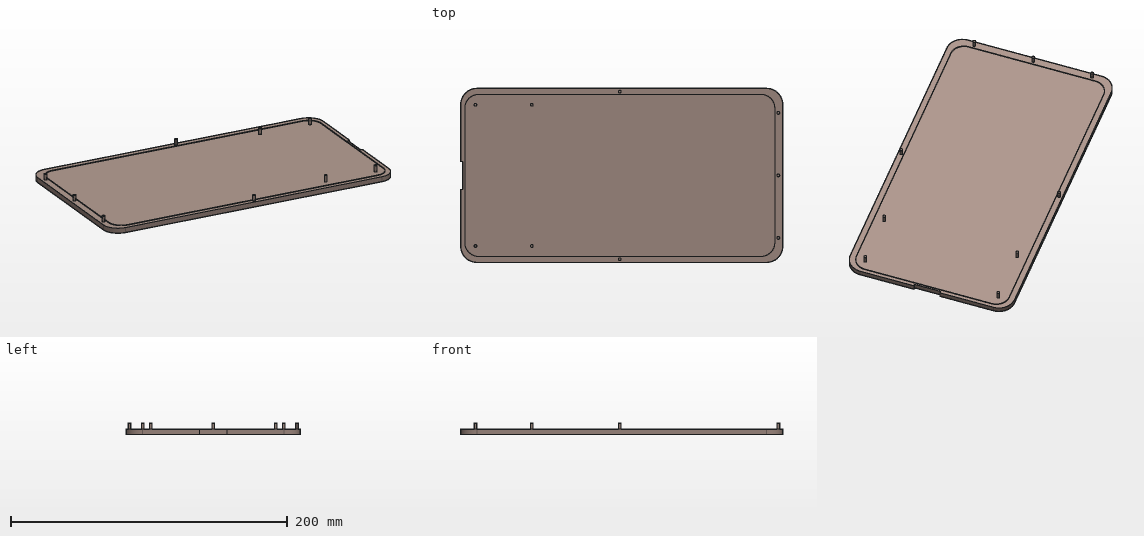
import cadquery as cq

length = 233.0
width = 126.0
total_height = 8.5
plate_thickness = 4.0
corner_radius = 11.9

recess_depth = 0.5
left_rim = 3.0
right_rim = 5.8
side_rim = 4.5
recess_radius = 10.0

notch_width = 20.0
notch_depth = 1.5

pin_diameter = 2.0
recess_pin_columns = (-105.8, -65.0)
recess_pin_y = 51.0
side_pin_x = -1.5
side_pin_y = 60.5
end_pin_x = 113.2
end_pin_spacing = 45.2


def make_plate():
    """Rounded plate standing on the XY plane."""
    plate = cq.Workplane("XY").box(length, width, plate_thickness, centered=(True, True, False))
    return plate.edges("|Z").fillet(corner_radius)


def make_recess():
    """Rounded pocket volume, off-centre because the end rims differ."""
    recess_length = length - left_rim - right_rim
    recess_width = width - 2 * side_rim
    recess_center_x = (left_rim - right_rim) / 2
    recess = cq.Workplane("XY").box(
        recess_length, recess_width, recess_depth, centered=(True, True, False)
    )
    recess = recess.edges("|Z").fillet(recess_radius)
    return recess.translate((recess_center_x, 0, plate_thickness - recess_depth))


def make_notch():
    """Box that cuts the left edge inward, centred on it."""
    notch = cq.Workplane("XY").box(
        2 * notch_depth, notch_width, plate_thickness, centered=(True, True, False)
    )
    return notch.translate((-length / 2, 0, 0))


def make_pins(positions, base_height):
    """Pins rising from base_height to the overall height."""
    pins = cq.Workplane("XY").workplane(offset=base_height).pushPoints(positions)
    return pins.circle(pin_diameter / 2).extrude(total_height - base_height)


recess_pins = [(x, side * recess_pin_y) for x in recess_pin_columns for side in (-1, 1)]
side_pins = [(side_pin_x, side * side_pin_y) for side in (-1, 1)]
end_pins = [(end_pin_x, step * end_pin_spacing) for step in (-1, 0, 1)]

result = make_plate().cut(make_recess()).cut(make_notch())
result = result.union(make_pins(recess_pins, plate_thickness - recess_depth))
result = result.union(make_pins(side_pins + end_pins, plate_thickness))